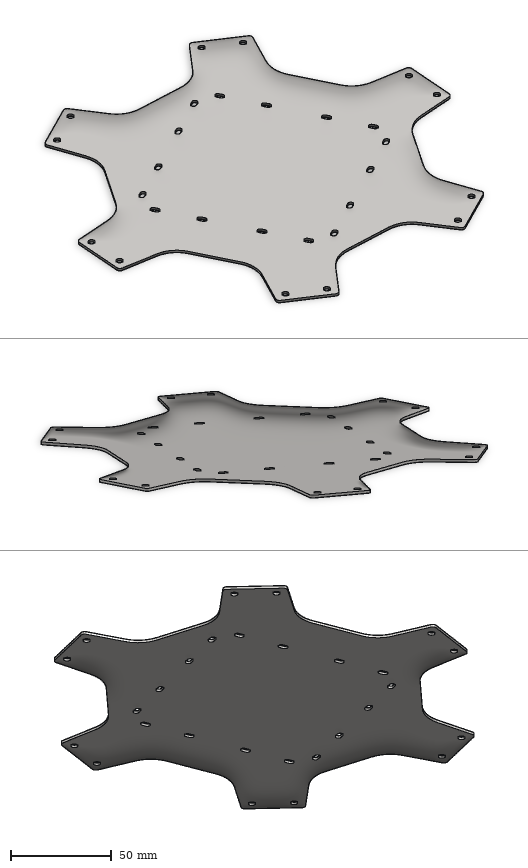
import cadquery as cq
import math

ARM_COUNT = 6
ARM_PITCH = 360 / ARM_COUNT
THICKNESS = 1.5

BODY_APOTHEM = 78.0
ARM_TIP_RADIUS = 110.0
ARM_TIP_HALF_WIDTH = 15.85
ARM_TAPER_ANGLE = 6.87
ARM_TIP_FILLET = 2.0
ARM_ROOT_FILLET = 17.5

HOLE_DIAMETER = 3.5
LEG_HOLE_RADIUS = 105.0
LEG_HOLE_SPACING = 21.0

SLOT_WIDTH = 3.0
SLOT_LENGTH = 5.0
SLOT_SIDE_OFFSET = 50.25
SLOT_INNER_POSITION = 15.75
SLOT_OUTER_POSITION = 40.25
SLOT_SIDES = 4


def rotated(point, angle):
    """Turn a plan point about the plate centre by an angle in degrees."""
    x, y = point
    cos_a = math.cos(math.radians(angle))
    sin_a = math.sin(math.radians(angle))
    return (x * cos_a - y * sin_a, x * sin_a + y * cos_a)


def arm_root_corner():
    """Point where the flank of the +X arm meets the next hexagon side."""
    slope = math.tan(math.radians(ARM_TAPER_ANGLE))
    normal_x = math.cos(math.radians(ARM_PITCH / 2))
    normal_y = math.sin(math.radians(ARM_PITCH / 2))
    flank_at_centre = ARM_TIP_HALF_WIDTH + slope * ARM_TIP_RADIUS
    x = (BODY_APOTHEM - normal_y * flank_at_centre) / (normal_x - normal_y * slope)
    return (x, flank_at_centre - slope * x)


def plate_blank():
    """Star-shaped plate with rounded arm tips and arm roots."""
    root_x, root_y = arm_root_corner()
    arm_corners = [
        (root_x, -root_y),
        (ARM_TIP_RADIUS, -ARM_TIP_HALF_WIDTH),
        (ARM_TIP_RADIUS, ARM_TIP_HALF_WIDTH),
        (root_x, root_y),
    ]
    outline = []
    for arm in range(ARM_COUNT):
        outline += [rotated(corner, arm * ARM_PITCH) for corner in arm_corners]
    plate = cq.Workplane("XY").polyline(outline).close().extrude(THICKNESS)

    split_radius = (ARM_TIP_RADIUS + BODY_APOTHEM) / 2

    def is_tip(edge):
        return math.hypot(edge.Center().x, edge.Center().y) > split_radius

    corner_edges = plate.edges("|Z").vals()
    tip_edges = [edge for edge in corner_edges if is_tip(edge)]
    root_edges = [edge for edge in corner_edges if not is_tip(edge)]
    solid = plate.val().fillet(ARM_TIP_FILLET, tip_edges)
    solid = solid.fillet(ARM_ROOT_FILLET, root_edges)
    return cq.Workplane("XY").newObject([solid])


def leg_holes():
    """Cutter for the pair of round holes near each arm tip."""
    centres = []
    for arm in range(ARM_COUNT):
        for side in (-1, 1):
            centre = (LEG_HOLE_RADIUS, side * LEG_HOLE_SPACING / 2)
            centres.append(rotated(centre, arm * ARM_PITCH))
    return cq.Workplane("XY").pushPoints(centres).circle(HOLE_DIAMETER / 2).extrude(THICKNESS)


def slot_row():
    """Cutter for the four slots along the +Y side of the square."""
    positions = (-SLOT_OUTER_POSITION, -SLOT_INNER_POSITION, SLOT_INNER_POSITION, SLOT_OUTER_POSITION)
    centres = [(x, SLOT_SIDE_OFFSET) for x in positions]
    return cq.Workplane("XY").pushPoints(centres).slot2D(SLOT_LENGTH, SLOT_WIDTH).extrude(THICKNESS)


result = plate_blank().cut(leg_holes())
for side in range(SLOT_SIDES):
    turn = side * 360 / SLOT_SIDES
    result = result.cut(slot_row().rotate((0, 0, 0), (0, 0, 1), turn))